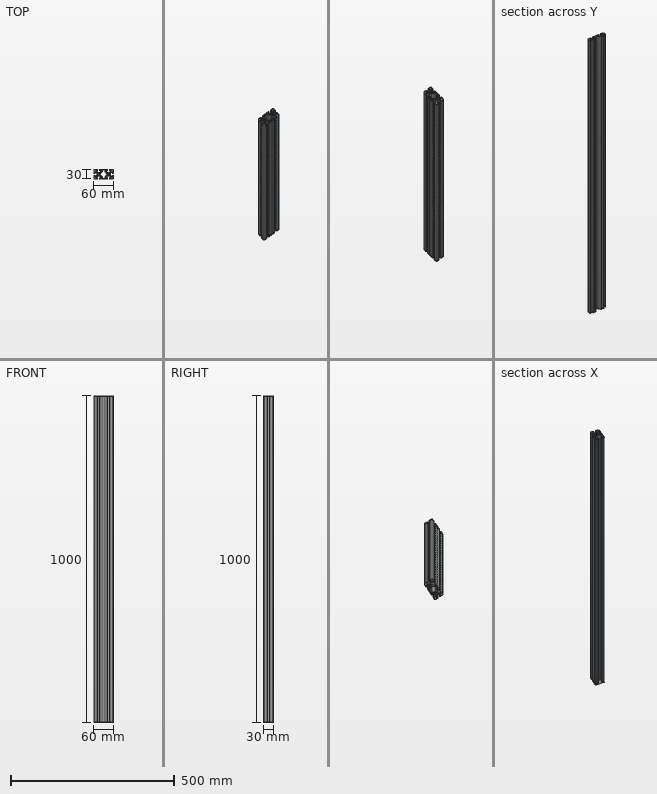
import cadquery as cq

MODULE = 30.0
CELLS = 2
LENGTH = 1000.0
WIDTH = CELLS * MODULE
HALF_MODULE = MODULE / 2
CELL_CENTRES = [-MODULE / 2, MODULE / 2]
CORNER_RADIUS = 3.0

SLOT_MOUTH = 6.2
SLOT_MOUTH_RADIUS = 1.35
SLOT_LIP = 3.0
SLOT_INNER_WIDTH = 14.0
SLOT_DEPTH = 9.5
SLOT_FLOOR_WIDTH = 5.7
SLOT_INNER_RADIUS = 0.5
SLOT_SHOULDER_DEPTH = SLOT_DEPTH - (SLOT_INNER_WIDTH - SLOT_FLOOR_WIDTH) / 2

CORE_BORE = 5.0

CAVITY_TO_CORE = 4.35
CAVITY_SIDE_HEIGHT = 2.7
CAVITY_TOP_WIDTH = 8.0
CAVITY_WALL = 2.0
CAVITY_RADIUS = 1.0
CAVITY_HALF_WIDTH = HALF_MODULE - CAVITY_TO_CORE
CAVITY_HALF_HEIGHT = HALF_MODULE - CAVITY_WALL
CAVITY_SHOULDER = CAVITY_SIDE_HEIGHT / 2 + CAVITY_HALF_WIDTH - CAVITY_TOP_WIDTH / 2


def blank():
    """Solid bar with rounded long edges."""
    bar = cq.Workplane("XY").rect(WIDTH, MODULE).extrude(LENGTH)
    return bar.edges("|Z").fillet(CORNER_RADIUS)


def mirrored_prism(right_half, edge_radius):
    """Full-length prism from the right half of an outline symmetric in X."""
    left_half = [(-x, y) for x, y in reversed(right_half)]
    prism = cq.Workplane("XY").polyline(right_half + left_half).close().extrude(LENGTH)
    return prism.edges("|Z").fillet(edge_radius)


def slot_mouth():
    """Opening between the slot lips, flared by the rounded lip edges."""
    half_mouth = SLOT_MOUTH / 2
    half_flare = half_mouth + SLOT_MOUTH_RADIUS
    arc_end = HALF_MODULE - SLOT_MOUTH_RADIUS
    inner_end = HALF_MODULE - SLOT_SHOULDER_DEPTH
    return (
        cq.Workplane("XY")
        .moveTo(-half_flare, HALF_MODULE)
        .lineTo(half_flare, HALF_MODULE)
        .radiusArc((half_mouth, arc_end), -SLOT_MOUTH_RADIUS)
        .lineTo(half_mouth, inner_end)
        .lineTo(-half_mouth, inner_end)
        .lineTo(-half_mouth, arc_end)
        .radiusArc((-half_flare, HALF_MODULE), -SLOT_MOUTH_RADIUS)
        .close()
        .extrude(LENGTH)
    )


def slot():
    """T slot cutter of a cell centred on the origin, opening toward +Y."""
    inner_half = [
        (SLOT_INNER_WIDTH / 2, HALF_MODULE - SLOT_LIP),
        (SLOT_INNER_WIDTH / 2, HALF_MODULE - SLOT_SHOULDER_DEPTH),
        (SLOT_FLOOR_WIDTH / 2, HALF_MODULE - SLOT_DEPTH),
    ]
    return mirrored_prism(inner_half, SLOT_INNER_RADIUS).union(slot_mouth())


def cavity():
    """Diamond-shaped cavity with short flat ends, between the two cells."""
    upper_half = [
        (CAVITY_HALF_WIDTH, CAVITY_SIDE_HEIGHT / 2),
        (CAVITY_TOP_WIDTH / 2, CAVITY_SHOULDER),
        (CAVITY_TOP_WIDTH / 2, CAVITY_HALF_HEIGHT),
    ]
    lower_half = [(x, -y) for x, y in reversed(upper_half)]
    return mirrored_prism(lower_half + upper_half, CAVITY_RADIUS)


def core_bores():
    """Through bore along the axis of each cell."""
    centres = [(x, 0) for x in CELL_CENTRES]
    return cq.Workplane("XY").pushPoints(centres).circle(CORE_BORE / 2).extrude(LENGTH)


def cut_slots(body):
    """Cut the +Y, -Y and outward-facing slots of both cells."""
    cutter = slot()
    for centre in CELL_CENTRES:
        outward = 90 if centre < 0 else -90
        for angle in (0, 180, outward):
            turned = cutter.rotate((0, 0, 0), (0, 0, 1), angle)
            body = body.cut(turned.translate((centre, 0, 0)))
    return body


result = cut_slots(blank()).cut(cavity()).cut(core_bores())